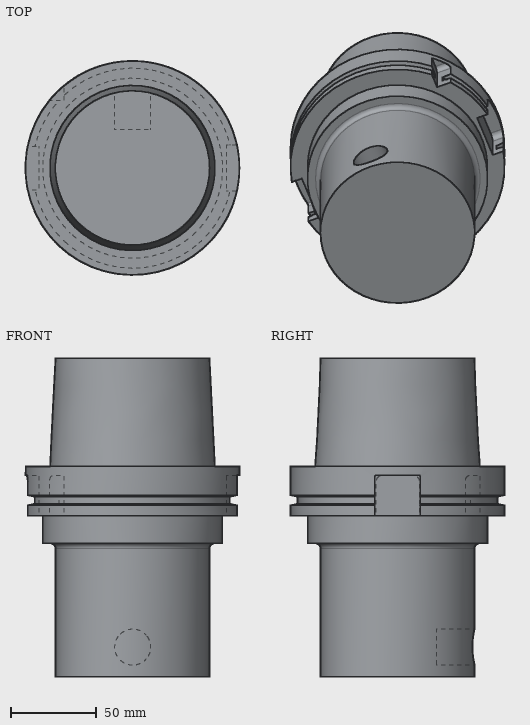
import cadquery as cq

total_height = 186.0
neck_top = 75.0
shoulder_bottom = 78.0
flange_bottom = 94.0
flange_top = 122.8
groove_centre = 103.0
groove_mouth = 6.0
groove_floor_width = 4.0

shank_radius = 90.0 / 2
shoulder_radius = 105.0 / 2
flange_radius = 125.0 / 2
groove_radius = 58.4
taper_base_radius = 48.2
taper_top_radius = shank_radius

slot_top = 117.7
left_slot_width = 25.3
right_slot_width = 26.8
slot_floor = 54.7
left_slot_corner = 3.7
right_slot_corner = 1.3

notch_floor = 40.0
notch_side = 39.5
notch_corner = 3.0

screw_diameter = 21.0
screw_height = 17.5
screw_depth = 22.3


def make_body():
    """Turn the shank, shoulder, grooved flange and taper in one revolution."""
    fillet = shoulder_bottom - neck_top
    profile = (
        cq.Workplane("XZ")
        .lineTo(shank_radius, 0)
        .lineTo(shank_radius, neck_top)
        .radiusArc((shank_radius + fillet, shoulder_bottom), fillet)
        .lineTo(shoulder_radius, shoulder_bottom)
        .lineTo(shoulder_radius, flange_bottom)
        .lineTo(flange_radius, flange_bottom)
        .lineTo(flange_radius, groove_centre - groove_mouth / 2)
        .lineTo(groove_radius, groove_centre - groove_floor_width / 2)
        .lineTo(groove_radius, groove_centre + groove_floor_width / 2)
        .lineTo(flange_radius, groove_centre + groove_mouth / 2)
        .lineTo(flange_radius, flange_top)
        .lineTo(taper_base_radius, flange_top)
        .lineTo(taper_top_radius, total_height)
        .lineTo(0, total_height)
        .close()
    )
    return profile.revolve(360, (0, 0, 0), (0, 1, 0))


def rim_cutter(x_min, x_max, y_min, y_max, corner, rounded_edges):
    """Block from the flange underside to the slot top, with rounded upper corners."""
    block = cq.Workplane("XY").box(
        x_max - x_min, y_max - y_min, slot_top - flange_bottom, centered=False
    )
    block = block.edges(rounded_edges).fillet(corner)
    return block.translate((x_min, y_min, flange_bottom))


def make_drive_slot(x_min, x_max, width, corner):
    return rim_cutter(x_min, x_max, -width / 2, width / 2, corner, "|X and >Z")


def make_notch():
    return rim_cutter(
        -flange_radius, -notch_floor, notch_side, flange_radius, notch_corner, "|X and >Z and <Y"
    )


def make_screw_hole():
    """Blind radial hole entering from the +Y side."""
    return (
        cq.Workplane("XZ", origin=(0, shank_radius, screw_height))
        .circle(screw_diameter / 2)
        .extrude(screw_depth)
    )


result = (
    make_body()
    .cut(make_drive_slot(-flange_radius, -slot_floor, left_slot_width, left_slot_corner))
    .cut(make_drive_slot(slot_floor, flange_radius, right_slot_width, right_slot_corner))
    .cut(make_notch())
    .cut(make_screw_hole())
)